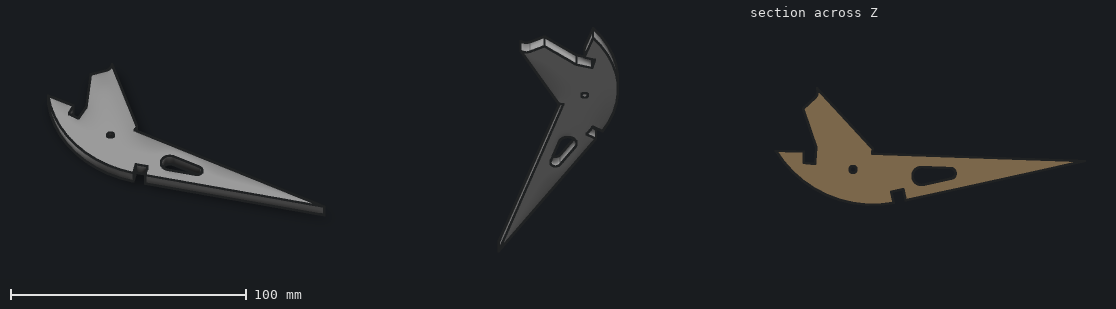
import cadquery as cq
import math

thickness = 6.0
pivot_diameter = 2.8

tail_tip = (98.2, 3.55)
tail_top_angle = math.radians(2.0)
tail_bottom_angle = math.radians(12.4)
tail_top_start_x = 8.1

swell_height = 0.16
swell_peak_share = 0.6

nose_tip = (-32.75, 7.9)
belly_low_point = (7.4, -15.05)

notch_width = 5.15
notch_depth = 4.8
notch_distance_from_tip = 77.7

slot_left_x = -20.8
slot_top_y = 7.6
slot_bottom_left_y = 2.8
slot_bottom_right = (-16.1, 2.35)
arm_root = (-15.6, 9.3)

arm_corner = (-21.2, 25.7)
horn_base = (-16.2, 30.3)
horn_bulge = (-15.2, 31.9)
horn_tip = (-15.3, 34.4)
arm_back_foot = (8.4, 8.75)

window_big_center = (29.0, -2.8)
window_big_radius = 3.75
window_small_radius = 2.2
window_length = 12.3


def along(start, angle, distance):
    """Point at a distance from start in the direction of angle."""
    return (start[0] + distance * math.cos(angle), start[1] + distance * math.sin(angle))


def make_plate():
    """Extruded outline, before the notch and openings are cut."""
    step_foot_y = tail_tip[1] + (tail_tip[0] - tail_top_start_x) * math.tan(tail_top_angle)
    belly_end = along(tail_tip, math.pi + tail_bottom_angle, notch_distance_from_tip + notch_width)
    return (
        cq.Workplane("XY")
        .moveTo(*nose_tip)
        .threePointArc(belly_low_point, belly_end)
        .lineTo(*tail_tip)
        .lineTo(tail_top_start_x, step_foot_y)
        .lineTo(*arm_back_foot)
        .lineTo(*horn_tip)
        .threePointArc(horn_bulge, horn_base)
        .lineTo(*arm_corner)
        .lineTo(*arm_root)
        .lineTo(*slot_bottom_right)
        .lineTo(slot_left_x, slot_bottom_left_y)
        .lineTo(slot_left_x, slot_top_y)
        .close()
        .extrude(thickness)
    )


def make_notch():
    """Block centred on the lower edge, so that its upper half cuts the notch."""
    center = along(tail_tip, math.pi + tail_bottom_angle, notch_distance_from_tip + notch_width / 2)
    return (
        cq.Workplane("XY")
        .center(*center)
        .transformed(rotate=(0, 0, math.degrees(tail_bottom_angle)))
        .rect(notch_width, 2 * notch_depth)
        .extrude(thickness)
    )


def swell_tail(body):
    """Replace the tail's flat lower face by one that swells outward from the same four edges."""
    toward_notch = math.pi + tail_bottom_angle
    outward = tail_bottom_angle - math.pi / 2
    peak_base = along(tail_tip, toward_notch, notch_distance_from_tip * (1 - swell_peak_share))
    peak = cq.Vector(*along(peak_base, outward, swell_height), thickness / 2)
    flat_face = body.faces(cq.NearestToPointSelector(peak.toTuple())).val()
    other_faces = [face for face in body.faces().vals() if not face.isSame(flat_face)]
    swollen_face = cq.Face.makeNSidedSurface(flat_face.Edges(), [peak])
    shell = cq.Shell.makeShell(other_faces + [swollen_face])
    return cq.Workplane(cq.Solid.makeSolid(shell).fix())


def make_window():
    """Tapered window whose long sides are the tangents of its two end circles."""
    axis_angle = (tail_bottom_angle - tail_top_angle) / 2
    small_center = along(window_big_center, axis_angle, window_length)
    tangent_angle = math.acos((window_big_radius - window_small_radius) / window_length)
    upper = axis_angle + tangent_angle
    lower = axis_angle - tangent_angle
    return (
        cq.Workplane("XY")
        .moveTo(*along(window_big_center, upper, window_big_radius))
        .threePointArc(
            along(window_big_center, axis_angle + math.pi, window_big_radius),
            along(window_big_center, lower, window_big_radius),
        )
        .lineTo(*along(small_center, lower, window_small_radius))
        .threePointArc(
            along(small_center, axis_angle, window_small_radius),
            along(small_center, upper, window_small_radius),
        )
        .close()
        .extrude(thickness)
    )


pivot_hole = cq.Workplane("XY").circle(pivot_diameter / 2).extrude(thickness)

flat_sided_plate = make_plate().cut(make_notch()).cut(make_window()).cut(pivot_hole)
result = swell_tail(flat_sided_plate)